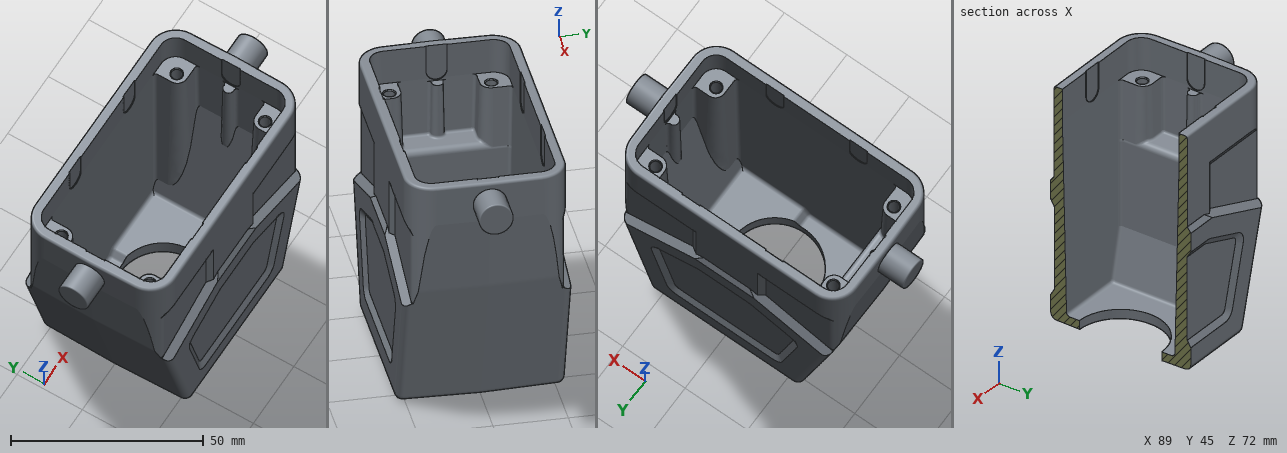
import cadquery as cq
import math

HEIGHT = 72.0
RIM_WIDTH = 72.8
RIM_DEPTH = 42.8
RIM_CORNER_R = 7.6
RIM_EDGE_R = 0.8
PARTING_DRAFT = 1.0

SLOPE_START_Z = HEIGHT - 11.3
BEND_Z = HEIGHT - 32.2
BEND_HALF_WIDTH = 34.7
BEND_R = 6.2
STEEP_ANGLE = 15.0
STEEP_RATE = math.tan(math.radians(STEEP_ANGLE))
UPPER_BODY_FOOT_Z = 26.7
BASE_HALF_WIDTH = BEND_HALF_WIDTH - BEND_Z * STEEP_RATE

CHEEK_DEPTH = 45.0
CHEEK_TOP_Z = HEIGHT - 27.7
CHEEK_TOP_HALF = 9.8
CHEEK_FALL_ANGLE = 20.0
CHEEK_FALL_RATE = math.tan(math.radians(CHEEK_FALL_ANGLE))
CHEEK_BEVEL = 1.6
EDGE_R = 2.05

WINDOW_SINK = 1.2
SINK_BEVEL = 1.9
WINDOW_TOP_Z = HEIGHT - 12.9
WINDOW_INNER_X = 9.8
WINDOW_EDGE_R = 1.8
PANEL_TOP_Z = HEIGHT - 35.1
PANEL_BOTTOM_Z = HEIGHT - 64.35
PANEL_TOP_HALF = 8.2
PANEL_SHOULDER_HALF = 24.1
PANEL_CORNER_R = 3.5

PIN_SPAN = 89.0
PIN_D = 9.0
PIN_Z = HEIGHT - 6.2
PIN_EDGE_R = 0.4

RECESS_HALF_X = 33.4
RECESS_HALF_Y = 18.6
RECESS_CORNER_R = 4.45
POST_TOP_Z = HEIGHT - 10.0
FLOOR_HALF_Y = 17.3
FLOOR_LOW_Z = 3.0
FLOOR_STEP = 1.8
FLOOR_STEP_START_X = 1.2
FLOOR_STEP_END_X = 2.9
FLOOR_LEFT_X = -20.1
FLOOR_RIGHT_X = 22.7
RIGHT_WALL_BEND_X = 32.8
LEDGE_Z = HEIGHT - 26.7
LEDGE_OUTER_X = -32.8
LEDGE_EDGE_X = -25.1
LEDGE_EDGE_R = 1.8
LEDGE_FOOT_R = 0.8
LEDGE_WALL_BEND_X = -24.2
FLOOR_R = 1.1
JOINT_R = 0.9
CABLE_HOLE_D = 26.3

POST_INNER_X = 25.7
POST_INNER_Y = 10.5
POST_CORNER_R = 2.9
POST_DRAFT = 1.8
SCREW_X = 28.5
SCREW_Y = 13.5
SCREW_HOLE_D = 3.0
SCREW_HOLE_DEPTH = 12.5
SCREW_CHAMFER = 0.3

RIB_X = 32.3
RIB_TOP_Z = POST_TOP_Z - 0.7
RIB_R = 1.5
RIB_DRAFT = 1.0
KEYWAY_WIDTH = 5.6
KEYWAY_SINK = 0.3
KEYWAY_SPACING = 26.7
KEYWAY_BOTTOM_Z = HEIGHT - 10.4

SELECT_REACH = 0.45
MARGIN = 17.8


def box_around(center, reach):
    """Selector for everything centred within reach of a point along each axis."""
    low = [c - r for c, r in zip(center, reach)]
    high = [c + r for c, r in zip(center, reach)]
    return cq.selectors.BoxSelector(low, high)


def mirrored_outline(right_half):
    """Close a right-hand point list with its mirror image about X = 0."""
    return right_half + [(-x, z) for x, z in reversed(right_half)]


def both_sides(half):
    """Join a half solid with its mirror image about the Y = 0 plane."""
    return half.union(half.mirror("XZ"))


def end_profile(depth):
    """Block between the end walls, drafted away from the parting plane, -Y half."""
    outline = mirrored_outline([
        (BASE_HALF_WIDTH, 0),
        (BEND_HALF_WIDTH, BEND_Z),
        (RIM_WIDTH / 2, SLOPE_START_Z),
        (RIM_WIDTH / 2, HEIGHT + MARGIN),
    ])
    return cq.Workplane("XZ").polyline(outline).close().extrude(depth / 2, taper=PARTING_DRAFT)


def upper_body():
    """Rounded rectangular shell cut to the sloping end walls."""
    straight_sides = both_sides(
        cq.Workplane("XZ").center(0, HEIGHT / 2)
        .rect(RIM_WIDTH, HEIGHT + MARGIN).extrude(RIM_DEPTH / 2, taper=PARTING_DRAFT)
    )
    rim = (
        cq.Workplane("XY").workplane(offset=UPPER_BODY_FOOT_Z)
        .rect(RIM_WIDTH, RIM_DEPTH).extrude(HEIGHT - UPPER_BODY_FOOT_Z)
        .intersect(straight_sides)
    )
    corner_edges = rim.edges("|Z").edges(">Y or <Y")
    rim = corner_edges.fillet(RIM_CORNER_R).faces(">Z").edges().fillet(RIM_EDGE_R)
    side = window()
    rim = rim.cut(both_sides(side.union(side.mirror("YZ"))))
    window_y = RIM_DEPTH / 2 - WINDOW_SINK
    for x in (-RIM_WIDTH / 2, RIM_WIDTH / 2):
        for y in (-window_y, window_y):
            outer_edge = box_around((x, y, BEND_Z), (RIM_CORNER_R, SELECT_REACH, HEIGHT))
            rim = rim.edges("|Z").edges(outer_edge).fillet(WINDOW_EDGE_R)
    bends = box_around((0, 0, BEND_Z), (RIM_WIDTH, RIM_DEPTH, SELECT_REACH))
    profile = end_profile(RIM_DEPTH).edges(bends).fillet(BEND_R)
    return rim.intersect(both_sides(profile))


def bevelled_prism(outline, straight_depth):
    """Prism toward -Y whose edges are bevelled from straight_depth to the cheek face."""
    rise = CHEEK_DEPTH / 2 - straight_depth
    taper = math.degrees(math.atan2(CHEEK_BEVEL, rise))
    straight = cq.Workplane("XZ").polyline(outline).close().extrude(straight_depth)
    return straight.faces("<Y").wires().toPending().workplane().extrude(rise, taper=taper)


def cheek_roof():
    """Space below the flat middle and the two falling ends of the cheek roof, -Y half."""
    reach = RIM_WIDTH / 2 + MARGIN
    gable = mirrored_outline([
        (reach, -MARGIN),
        (reach, CHEEK_TOP_Z - (reach - CHEEK_TOP_HALF) * CHEEK_FALL_RATE),
    ])
    ridge_z = CHEEK_TOP_Z + CHEEK_TOP_HALF * CHEEK_FALL_RATE
    gable.insert(2, (0, ridge_z))
    flat = mirrored_outline([(reach, -MARGIN), (reach, CHEEK_TOP_Z)])
    falling_ends = bevelled_prism(gable, RIM_DEPTH / 2 - WINDOW_SINK)
    return falling_ends.intersect(bevelled_prism(flat, RIM_DEPTH / 2))


def cheek():
    """Lower body with rounded edges and a bevelled roof line, -Y half."""
    block = end_profile(CHEEK_DEPTH)
    block = block.faces("<Y").edges("not(>Z)").fillet(EDGE_R)
    foot_corners = box_around((0, 0, 0), (RIM_WIDTH, CHEEK_DEPTH / 2 - EDGE_R, SELECT_REACH))
    block = block.edges("not(|X)").edges(foot_corners).fillet(EDGE_R)
    return block.intersect(cheek_roof())


def sunken_area(sketch, surface_y):
    """Cutter with bevelled sides, reaching inward from the outline on the -Y surface."""
    taper = math.degrees(math.atan2(SINK_BEVEL, WINDOW_SINK))
    return sketch.extrude(-WINDOW_SINK, taper=taper).translate((0, -surface_y, 0))


def window():
    """Cutter for the sunken window at the +X end of the -Y side."""
    outer_x = RIM_WIDTH / 2 + MARGIN
    sketch = cq.Workplane("XZ").polyline([
        (WINDOW_INNER_X, WINDOW_TOP_Z),
        (outer_x, WINDOW_TOP_Z),
        (outer_x, -MARGIN),
        (WINDOW_INNER_X, -MARGIN),
    ]).close()
    return sunken_area(sketch, RIM_DEPTH / 2)


def panel():
    """Cutter for the sunken panel on the -Y cheek."""
    shoulder_z = PANEL_TOP_Z - (PANEL_SHOULDER_HALF - PANEL_TOP_HALF) * CHEEK_FALL_RATE
    foot_half = PANEL_SHOULDER_HALF - (shoulder_z - PANEL_BOTTOM_Z) * STEEP_RATE
    outline = mirrored_outline([
        (foot_half, PANEL_BOTTOM_Z),
        (PANEL_SHOULDER_HALF, shoulder_z),
        (PANEL_TOP_HALF, PANEL_TOP_Z),
    ])
    sharp = cq.Wire.makePolygon([cq.Vector(x, 0, z) for x, z in outline], close=True)
    rounded = sharp.fillet2D(PANEL_CORNER_R, sharp.Vertices())
    return sunken_area(cq.Workplane("XZ").add(rounded).toPending(), CHEEK_DEPTH / 2)


def outer_body():
    return upper_body().union(both_sides(cheek())).cut(both_sides(panel()))


def pins():
    return (
        cq.Workplane("YZ").center(0, PIN_Z).circle(PIN_D / 2)
        .extrude(PIN_SPAN / 2, both=True)
        .faces("<X or >X").edges().fillet(PIN_EDGE_R)
    )


def posts():
    """Drafted corner posts, standing in the four corners of the cavity."""
    size_x = RIM_WIDTH / 2 + MARGIN - POST_INNER_X
    size_y = RIM_DEPTH / 2 + MARGIN - POST_INNER_Y
    post = (
        cq.Workplane("XY").workplane(offset=POST_TOP_Z)
        .center(POST_INNER_X + size_x / 2, POST_INNER_Y + size_y / 2)
        .sketch().rect(size_x, size_y).vertices("<X and <Y").fillet(POST_CORNER_R).finalize()
        .extrude(-POST_TOP_Z, taper=-POST_DRAFT)
    )
    pair = post.union(post.mirror("YZ"))
    return both_sides(pair)


def ribs():
    return (
        cq.Workplane("XY").workplane(offset=RIB_TOP_Z)
        .pushPoints([(RIB_X, 0), (-RIB_X, 0)]).circle(RIB_R)
        .extrude(-RIB_TOP_Z, taper=-RIB_DRAFT)
    )


def recess(bottom_z):
    """Straight opening with rounded corners, from bottom_z up through the rim."""
    return (
        cq.Workplane("XY").workplane(offset=bottom_z)
        .rect(2 * RECESS_HALF_X, 2 * RECESS_HALF_Y).extrude(HEIGHT)
        .edges("|Z").fillet(RECESS_CORNER_R)
    )


def lower_cavity():
    """Space below the recess: stepped floor, ledge on the -X side, drafted sides."""
    floor_high_z = FLOOR_LOW_Z + FLOOR_STEP
    lengthwise = cq.Workplane("XZ").polyline([
        (RECESS_HALF_X, POST_TOP_Z),
        (RIGHT_WALL_BEND_X, floor_high_z + (RIGHT_WALL_BEND_X - FLOOR_RIGHT_X) / STEEP_RATE),
        (FLOOR_RIGHT_X, floor_high_z),
        (FLOOR_STEP_END_X, floor_high_z),
        (FLOOR_STEP_START_X, FLOOR_LOW_Z),
        (FLOOR_LEFT_X, FLOOR_LOW_Z),
        (LEDGE_WALL_BEND_X, FLOOR_LOW_Z + (FLOOR_LEFT_X - LEDGE_WALL_BEND_X) / STEEP_RATE),
        (LEDGE_EDGE_X, LEDGE_Z),
        (LEDGE_OUTER_X, LEDGE_Z),
        (-RECESS_HALF_X, POST_TOP_Z),
    ]).close().extrude(RIM_DEPTH, both=True)
    crosswise = cq.Workplane("YZ").polyline([
        (RECESS_HALF_Y, POST_TOP_Z),
        (FLOOR_HALF_Y, FLOOR_LOW_Z),
        (-FLOOR_HALF_Y, FLOOR_LOW_Z),
        (-RECESS_HALF_Y, POST_TOP_Z),
    ]).close().extrude(RIM_WIDTH, both=True)
    return lengthwise.intersect(crosswise).intersect(recess(0)).cut(posts()).cut(ribs())


def round_cavity(cavity):
    """Round the floor, the ledge and the joints of posts and ribs with the walls."""
    floor_edges = box_around((0, 0, FLOOR_LOW_Z + FLOOR_STEP / 2), (RIM_WIDTH, RIM_DEPTH, FLOOR_STEP))
    cavity = cavity.edges(floor_edges).fillet(FLOOR_R)

    ledge_lip = box_around((LEDGE_EDGE_X, 0, LEDGE_Z), (SELECT_REACH, SELECT_REACH, SELECT_REACH))
    cavity = cavity.edges(ledge_lip).fillet(LEDGE_EDGE_R)

    mid_z = (LEDGE_Z + POST_TOP_Z) / 2
    for y in (-FLOOR_HALF_Y, FLOOR_HALF_Y):
        side_joints = box_around((0, y, LEDGE_Z), (POST_INNER_X, POST_CORNER_R / 2, HEIGHT / 2))
        cavity = cavity.edges("not(|X or |Y)").edges(side_joints).fillet(JOINT_R)
    for x in (LEDGE_OUTER_X, -LEDGE_OUTER_X):
        end_joints = box_around((x, 0, mid_z), (SELECT_REACH, POST_INNER_Y, POST_TOP_Z - mid_z - SELECT_REACH))
        cavity = cavity.edges("not(|Y)").edges(end_joints).fillet(JOINT_R)

    ledge_middle_x = (LEDGE_EDGE_X - RECESS_HALF_X) / 2
    ledge_feet = box_around(
        (ledge_middle_x - SELECT_REACH, 0, LEDGE_Z),
        (RECESS_HALF_X + ledge_middle_x, POST_INNER_Y + POST_CORNER_R / 2, SELECT_REACH / 2),
    )
    return cavity.edges(ledge_feet).fillet(LEDGE_FOOT_R)


def keyway(plane, wall_distance):
    """Round-bottomed shallow slot through a recess wall, on both opposite walls."""
    radius = KEYWAY_WIDTH / 2
    shaft_z = KEYWAY_BOTTOM_Z + radius
    return (
        cq.Workplane(plane)
        .moveTo(-radius, HEIGHT + MARGIN).lineTo(-radius, shaft_z)
        .threePointArc((0, KEYWAY_BOTTOM_Z), (radius, shaft_z))
        .lineTo(radius, HEIGHT + MARGIN).close()
        .extrude(wall_distance + KEYWAY_SINK, both=True)
    )


def screw_holes():
    hole = (
        cq.Workplane("XY").workplane(offset=POST_TOP_Z)
        .rect(2 * SCREW_X, 2 * SCREW_Y, forConstruction=True).vertices()
    )
    bore = hole.circle(SCREW_HOLE_D / 2).extrude(-SCREW_HOLE_DEPTH)
    mouth = hole.circle(SCREW_HOLE_D / 2 + SCREW_CHAMFER).extrude(-SCREW_CHAMFER, taper=45)
    return bore.union(mouth)


def cable_hole():
    return cq.Workplane("XY").circle(CABLE_HOLE_D / 2).extrude(HEIGHT)


result = outer_body().union(pins()).cut(recess(POST_TOP_Z)).cut(round_cavity(lower_cavity()))
result = result.cut(keyway("YZ", RECESS_HALF_X))
for keyway_x in (-KEYWAY_SPACING / 2, KEYWAY_SPACING / 2):
    result = result.cut(keyway("XZ", RECESS_HALF_Y).translate((keyway_x, 0, 0)))
result = result.cut(screw_holes()).cut(cable_hole())